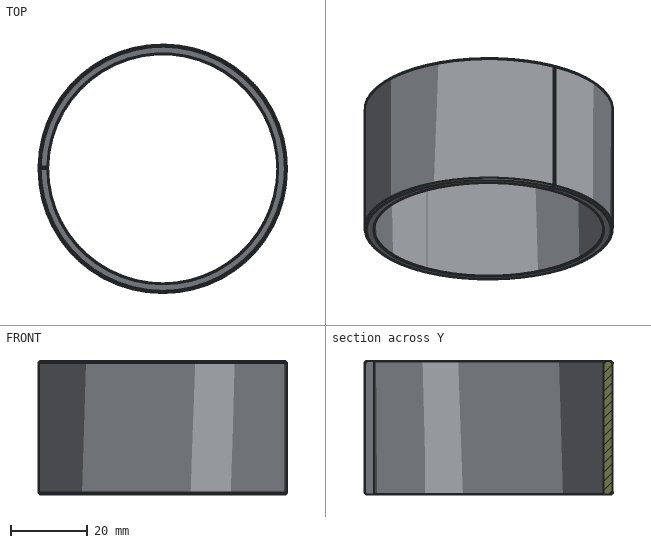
import cadquery as cq

outer_diameter = 65.0
bore_diameter = 60.0
height = 35.0
outer_chamfer = 0.5
bore_chamfer = 0.2
slit_width = 0.5
slit_center_y = 0.25

outer_radius = outer_diameter / 2
bore_radius = bore_diameter / 2


def sleeve():
    """Revolve the wall section, with all four rim edges chamfered."""
    section = (
        cq.Workplane("XZ")
        .moveTo(bore_radius + bore_chamfer, 0)
        .lineTo(outer_radius - outer_chamfer, 0)
        .lineTo(outer_radius, outer_chamfer)
        .lineTo(outer_radius, height - outer_chamfer)
        .lineTo(outer_radius - outer_chamfer, height)
        .lineTo(bore_radius + bore_chamfer, height)
        .lineTo(bore_radius, height - bore_chamfer)
        .lineTo(bore_radius, bore_chamfer)
        .close()
    )
    return section.revolve(360, (0, 0, 0), (0, 1, 0))


def slit():
    """Thin slab that opens the wall on the -X side over the full height."""
    return (
        cq.Workplane("XY")
        .center(-outer_radius, slit_center_y)
        .rect(outer_radius, slit_width)
        .extrude(height)
    )


result = sleeve().cut(slit())